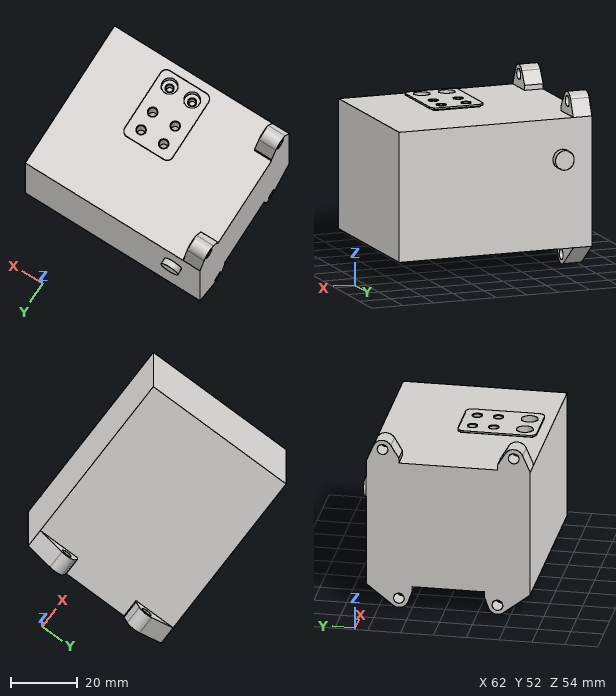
import cadquery as cq
import math

LENGTH = 62.0
WIDTH = 50.0
HEIGHT = 40.0

EAR_THICKNESS = 6.0
EAR_RADIUS = 3.0
EAR_HOLE_OFFSET = 4.0
EAR_HOLE_DIAMETER = 3.2
EAR_STEP = 1.55
UPPER_HOLE_INSET = 5.0
UPPER_EAR_WIDTH = 10.0
LOWER_HOLE_INSET = 10.0
LOWER_EAR_WIDTH = 14.0

PLATE_LENGTH = 17.0
PLATE_WIDTH = 24.0
PLATE_THICKNESS = 0.5
PLATE_CORNER_RADIUS = 2.0
PLATE_CENTER_X = 34.0
PLATE_CENTER_Y = 15.0
PEDESTAL_HEIGHT = 0.5
PEDESTAL_INSET = 1.0
PLATE_TOP = HEIGHT + PEDESTAL_HEIGHT + PLATE_THICKNESS

HOLE_SPACING_X = 8.0
HOLE_COLUMNS = [PLATE_CENTER_X + side * HOLE_SPACING_X / 2 for side in (-1, 1)]
TAPPED_ROWS = [16.55, 23.0]
TAPPED_DIAMETER = 2.65
TAPPED_MOUTH_DIAMETER = 3.1
TAPPED_DEPTH = 6.2
DRILL_TIP_ANGLE = 118.0
SOCKET_ROW = 7.05
SOCKET_DIAMETER = 5.0
SOCKET_DEPTH = 3.0
PILOT_DIAMETER = 2.2
PILOT_MOUTH_DIAMETER = 2.7
PILOT_DEPTH = 3.7

BOSS_DIAMETER = 6.0
BOSS_HEIGHT = 2.05
BOSS_X = 9.55
BOSS_Z = 27.5


def tangent_point(point, center, radius, turn):
    """Touch point of a line from point to a circle; turn picks the side."""
    dx = center[0] - point[0]
    dy = center[1] - point[1]
    distance = math.hypot(dx, dy)
    angle = math.atan2(dy, dx) + turn * math.asin(radius / distance)
    reach = math.sqrt(distance**2 - radius**2)
    return (point[0] + reach * math.cos(angle), point[1] + reach * math.sin(angle))


def ear(hole_inset, ear_width):
    """Ear rising in +Z from a body corner at Y = 0, Z = 0."""
    center = (hole_inset, EAR_HOLE_OFFSET)
    outer_corner = (0, 0)
    inner_corner = (ear_width, EAR_STEP)
    outer_touch = tangent_point(outer_corner, center, EAR_RADIUS, 1)
    inner_touch = tangent_point(inner_corner, center, EAR_RADIUS, -1)
    tip = (hole_inset, EAR_HOLE_OFFSET + EAR_RADIUS)
    blank = (
        cq.Workplane("YZ")
        .moveTo(*outer_corner)
        .lineTo(*outer_touch)
        .threePointArc(tip, inner_touch)
        .lineTo(*inner_corner)
        .lineTo(ear_width, 0)
        .close()
        .extrude(EAR_THICKNESS)
    )
    hole = cq.Workplane("YZ").center(*center).circle(EAR_HOLE_DIAMETER / 2).extrude(EAR_THICKNESS)
    return blank.cut(hole)


def ear_pair(hole_inset, ear_width):
    """Two ears mirrored about the middle of the body width."""
    near_ear = ear(hole_inset, ear_width)
    far_ear = near_ear.mirror("XZ").translate((0, WIDTH, 0))
    return near_ear.union(far_ear)


def plate_slab(inset, bottom, thickness):
    """Rectangular slab, set in from the plate outline on every side."""
    return (
        cq.Workplane("XY", origin=(PLATE_CENTER_X, PLATE_CENTER_Y, bottom))
        .rect(PLATE_LENGTH - 2 * inset, PLATE_WIDTH - 2 * inset)
        .extrude(thickness)
    )


def turned_hole(profile, x, y):
    """Hole cutter from (radius, depth) points, sunk from the plate top."""
    points = [(radius, -depth) for radius, depth in profile]
    return (
        cq.Workplane("XZ")
        .polyline(points)
        .close()
        .revolve(360, (0, 0, 0), (0, 1, 0))
        .translate((x, y, PLATE_TOP))
    )


def tapped_profile():
    """Countersunk mouth, straight bore and drill-point bottom."""
    radius = TAPPED_DIAMETER / 2
    mouth_radius = TAPPED_MOUTH_DIAMETER / 2
    tip_depth = TAPPED_DEPTH + radius / math.tan(math.radians(DRILL_TIP_ANGLE / 2))
    return [
        (0, 0),
        (mouth_radius, 0),
        (radius, mouth_radius - radius),
        (radius, TAPPED_DEPTH),
        (0, tip_depth),
    ]


def socket_profile():
    """Wide socket with a countersunk, flat-bottomed pilot in its floor."""
    radius = SOCKET_DIAMETER / 2
    pilot_radius = PILOT_DIAMETER / 2
    mouth_radius = PILOT_MOUTH_DIAMETER / 2
    return [
        (0, 0),
        (radius, 0),
        (radius, SOCKET_DEPTH),
        (mouth_radius, SOCKET_DEPTH),
        (pilot_radius, SOCKET_DEPTH + mouth_radius - pilot_radius),
        (pilot_radius, SOCKET_DEPTH + PILOT_DEPTH),
        (0, SOCKET_DEPTH + PILOT_DEPTH),
    ]


result = cq.Workplane("XY").box(LENGTH, WIDTH, HEIGHT, centered=False)
upper_ears = ear_pair(UPPER_HOLE_INSET, UPPER_EAR_WIDTH).translate((0, 0, HEIGHT))
lower_ears = ear_pair(LOWER_HOLE_INSET, LOWER_EAR_WIDTH).mirror("XY")
result = result.union(upper_ears).union(lower_ears)

boss = (
    cq.Workplane("XZ", origin=(BOSS_X, WIDTH, BOSS_Z))
    .circle(BOSS_DIAMETER / 2)
    .extrude(-BOSS_HEIGHT)
)
result = result.union(boss)

pedestal = plate_slab(PEDESTAL_INSET, HEIGHT, PEDESTAL_HEIGHT)
plate = plate_slab(0, HEIGHT + PEDESTAL_HEIGHT, PLATE_THICKNESS)
plate = plate.edges("|Z").fillet(PLATE_CORNER_RADIUS)
result = result.union(pedestal).union(plate)

for column in HOLE_COLUMNS:
    for row in TAPPED_ROWS:
        result = result.cut(turned_hole(tapped_profile(), column, row))
    result = result.cut(turned_hole(socket_profile(), column, SOCKET_ROW))